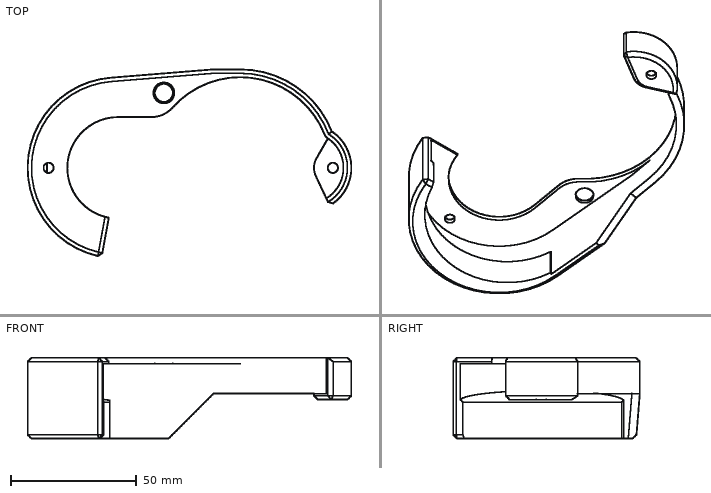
import cadquery as cq
import math


height = 32.4
arm_height = 14.4
plate_thickness = 2.4
cup_floor = plate_thickness
cup_height = arm_height + cup_floor

wall = 3.2
edge_chamfer = 1.6

ring_radius = 36.2
ring_opening_radius = 20.25
ring_end_angle = 259.6

lip_radius = ring_radius - wall
lip_shift = 4.6
lip_depth = 17.8
lip_end_x = -3.25

arm_radius = 39.4
arm_x = 48.85
shoulder_x = 38.1
cove_radius = 11.2

cup_radius = 17.45
cup_x = 75.85
cup_end_angle = -60.0
tab_radius = 7.6

pin_hole = 4.0
cup_hole_shift = 10.0
ring_hole_x = -27.8
cup_hole_x = cup_x + cup_hole_shift
cable_hole = 7.2
cable_hole_chamfer = 0.6
cable_hole_x = 18.3
cable_hole_y = 29.95

ring_cut_angle = 300.0
cup_cut_angle = -120.0

tolerance = 0.001


def polar(radius, degrees, center_x=0.0, center_y=0.0):
    """Point at an angle on a circle."""
    angle = math.radians(degrees)
    return (center_x + radius * math.cos(angle), center_y + radius * math.sin(angle))


def bearing(point, center_x=0.0, center_y=0.0):
    """Angle in degrees from a centre to a point."""
    return math.degrees(math.atan2(point[1] - center_y, point[0] - center_x))


def tangent_offset(point, radius, center_x=0.0):
    """Angle at a circle's centre between a point and its tangent contact."""
    return math.degrees(math.acos(radius / math.hypot(point[0] - center_x, point[1])))


shoulder = (shoulder_x, arm_radius)
slope_angle = bearing(shoulder) + tangent_offset(shoulder, ring_radius)
ring_end = polar(ring_radius, ring_end_angle)
cup_end = polar(cup_radius, cup_end_angle, cup_x)

center_span = cup_x - arm_x
waist_dx = (center_span**2 + arm_radius**2 - cup_radius**2) / (2 * center_span)
waist = (arm_x + waist_dx, math.sqrt(arm_radius**2 - waist_dx**2))
waist_arm_angle = bearing(waist, arm_x)
waist_cup_angle = bearing(waist, cup_x)

nose_upper_angle = bearing(waist, cup_hole_x) + tangent_offset(waist, tab_radius, cup_hole_x)
nose_lower_angle = bearing(cup_end, cup_hole_x) - tangent_offset(cup_end, tab_radius, cup_hole_x)
nose_lower = polar(tab_radius, nose_lower_angle, cup_hole_x)


def arc(path, radius, start, end, center_x=0.0, center_y=0.0):
    """Add an arc between two angles on a circle."""
    middle = polar(radius, (start + end) / 2, center_x, center_y)
    return path.threePointArc(middle, polar(radius, end, center_x, center_y))


def near(vector, point):
    """Whether a vector lies above or below a plan point."""
    return math.hypot(vector.x - point[0], vector.y - point[1]) < tolerance


def cup_end_edges(body):
    """Upright outer edge at the free end of the cup."""
    return [edge for edge in body.edges("|Z").vals() if near(edge.startPoint(), cup_end)]


def envelope():
    """Filled outline of the part without the tab, with all its outer chamfers."""
    path = cq.Workplane("XY").moveTo(*ring_end)
    path = arc(path, ring_radius, ring_end_angle, slope_angle)
    path = path.lineTo(*shoulder).lineTo(arm_x, arm_radius)
    path = arc(path, arm_radius, 90, waist_arm_angle, arm_x)
    path = arc(path, cup_radius, waist_cup_angle, cup_end_angle, cup_x)
    block = path.lineTo(*nose_lower).lineTo(0, 0).close().extrude(-height)

    far_x = cup_x + 2 * cup_radius
    underside = (
        cq.Workplane("XZ")
        .moveTo(shoulder_x, -arm_height)
        .lineTo(far_x, -arm_height)
        .lineTo(far_x, -height)
        .lineTo(shoulder_x - (height - arm_height), -height)
        .close()
        .extrude(2 * arm_radius, both=True)
    )
    block = block.cut(underside)

    def is_rim(edge):
        ends = [edge.startPoint(), edge.endPoint()]
        level = all(min(abs(end.z), abs(end.z + height)) < tolerance for end in ends)
        outer = all(abs(end.y) > tab_radius for end in ends)
        at_ring_end = any(near(end, ring_end) for end in ends)
        beside_cup_end = edge.geomType() == "LINE" and ends[0].x > cup_x
        return at_ring_end or (level and outer and not beside_cup_end)

    block = block.newObject(cup_end_edges(block)).chamfer(edge_chamfer)
    return block.newObject(list(filter(is_rim, block.edges().vals()))).chamfer(edge_chamfer)


def arm_and_cup_inside(path):
    """Continue a cutting outline along the inner wall of arm and cup, and close it."""
    inner_cup = cup_radius - wall
    path = arc(path, wall, waist_arm_angle + 180, waist_cup_angle + 180, *waist)
    path = arc(path, inner_cup, waist_cup_angle, cup_cut_angle, cup_x)
    return path.close().extrude(-height)


def opening():
    """Cut through the full height: ring mouth, cove, arm and cup."""
    inner_arm = arm_radius - wall
    cove_y = ring_opening_radius + cove_radius
    cove_x = arm_x - math.sqrt((inner_arm + cove_radius) ** 2 - cove_y**2)
    cove_angle = bearing((cove_x, cove_y), arm_x)
    path = cq.Workplane("XY").moveTo(*polar(ring_opening_radius, ring_cut_angle))
    path = arc(path, ring_opening_radius, ring_cut_angle, 90)
    path = path.lineTo(cove_x, ring_opening_radius)
    path = arc(path, cove_radius, -90, cove_angle - 180, cove_x, cove_y)
    path = arc(path, inner_arm, cove_angle, waist_arm_angle, arm_x)
    return arm_and_cup_inside(path)


def hollow():
    """Cut below the top plate that leaves only the outer wall."""
    inner_ring = ring_radius - wall
    inner_arm = arm_radius - wall
    shoulder_shift = wall * math.tan(math.radians(slope_angle - 90) / 2)
    path = cq.Workplane("XY", origin=(0, 0, -plate_thickness)).moveTo(*polar(inner_ring, ring_cut_angle))
    path = arc(path, inner_ring, ring_cut_angle, slope_angle)
    path = path.lineTo(shoulder_x + shoulder_shift, inner_arm).lineTo(arm_x, inner_arm)
    path = arc(path, inner_arm, 90, waist_arm_angle, arm_x)
    return arm_and_cup_inside(path)


def ring_lip(outside):
    """Crescent that thickens the ring wall, sloping at 45 degrees into the wall above it."""
    crescent = outside.intersect(
        cq.Workplane("XY", origin=(0, 0, -plate_thickness))
        .moveTo(lip_end_x - ring_radius, 0)
        .rect(2 * ring_radius, 3 * ring_radius)
        .extrude(-height)
    )
    bore = cq.Workplane("XY", origin=(lip_shift, 0, -height)).circle(lip_radius).extrude(height)
    cone = cq.Workplane("XY").add(
        cq.Solid.makeCone(lip_radius, lip_radius + lip_depth, lip_depth, cq.Vector(lip_shift, 0, -lip_depth))
    )
    return crescent.cut(bore).cut(cone)


def cup_tab():
    """Floor of the cup with its round-nosed tab, chamfered underneath."""
    path = cq.Workplane("XY", origin=(0, 0, -arm_height)).moveTo(*waist)
    path = arc(path, cup_radius, waist_cup_angle, cup_end_angle, cup_x)
    path = path.lineTo(*nose_lower)
    path = arc(path, tab_radius, nose_lower_angle % 360, nose_upper_angle, cup_hole_x)
    floor = path.close().extrude(-cup_floor)
    bottom_edges = floor.faces("<Z").edges().vals()
    return floor.newObject(bottom_edges + cup_end_edges(floor)).chamfer(edge_chamfer)


def drill(diameter, x, y, depth):
    """Straight round cutter from the top face down to a depth."""
    return cq.Workplane("XY").center(x, y).circle(diameter / 2).extrude(-depth)


def holes():
    """Pin holes in ring plate and cup floor, and the chamfered cable hole."""
    ring_pin = drill(pin_hole, ring_hole_x, 0, plate_thickness)
    cup_pin = drill(pin_hole, cup_hole_x, 0, cup_height)
    cable = drill(cable_hole, cable_hole_x, cable_hole_y, plate_thickness)
    mouth = cq.Workplane("XY").add(
        cq.Solid.makeCone(
            cable_hole / 2 + cable_hole_chamfer,
            cable_hole / 2,
            cable_hole_chamfer,
            cq.Vector(cable_hole_x, cable_hole_y, 0),
            cq.Vector(0, 0, -1),
        )
    )
    return ring_pin.union(cup_pin).union(cable).union(mouth)


outside = envelope()
result = outside.cut(opening()).cut(hollow()).union(ring_lip(outside)).union(cup_tab()).cut(holes())